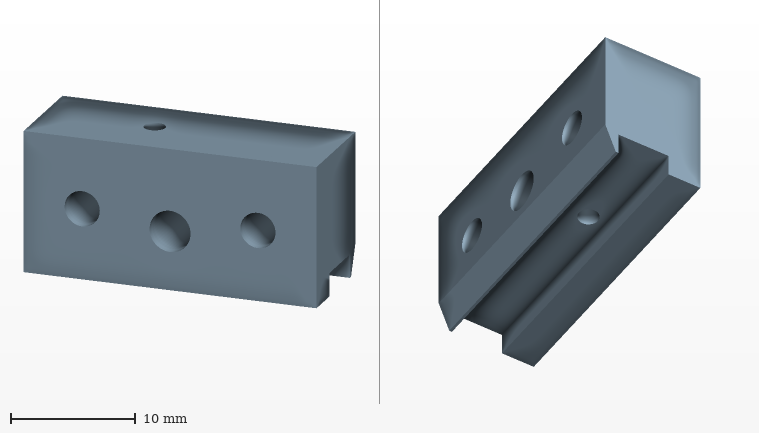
import cadquery as cq

LENGTH = 25.0
DEPTH = 9.0
HEIGHT = 12.0

CHANNEL_FRONT = 3.0
CHANNEL_WIDTH = 4.75
CHANNEL_HEIGHT = 2.0

BEVEL_DEPTH = 1.0
BEVEL_HEIGHT = 2.5

OUTER_HOLE_DIAMETER = 3.0
OUTER_HOLE_SPACING = 15.0
OUTER_HOLE_Z = HEIGHT / 2

MIDDLE_HOLE_DIAMETER = 3.5
MIDDLE_HOLE_Z = 5.0

VERTICAL_HOLE_DIAMETER = 1.8
VERTICAL_HOLE_X = 9.5
VERTICAL_HOLE_Y = 4.6


def make_body():
    """Extrude the Y-Z profile, with its channel and bevelled lip, along X."""
    channel_rear = CHANNEL_FRONT + CHANNEL_WIDTH
    profile = [
        (0, 0),
        (CHANNEL_FRONT, 0),
        (CHANNEL_FRONT, CHANNEL_HEIGHT),
        (channel_rear, CHANNEL_HEIGHT),
        (channel_rear, 0),
        (DEPTH - BEVEL_DEPTH, 0),
        (DEPTH, BEVEL_HEIGHT),
        (DEPTH, HEIGHT),
        (0, HEIGHT),
    ]
    return cq.Workplane("YZ").polyline(profile).close().extrude(LENGTH)


def cross_hole(x, z, diameter):
    """Cylinder along Y through the full depth of the block."""
    return cq.Workplane("XZ").center(x, z).circle(diameter / 2).extrude(-DEPTH)


def vertical_hole():
    """Cylinder along Z through the full height of the block."""
    return (
        cq.Workplane("XY")
        .center(VERTICAL_HOLE_X, VERTICAL_HOLE_Y)
        .circle(VERTICAL_HOLE_DIAMETER / 2)
        .extrude(HEIGHT)
    )


result = make_body()
for side in (-1, 1):
    outer_x = LENGTH / 2 + side * OUTER_HOLE_SPACING / 2
    result = result.cut(cross_hole(outer_x, OUTER_HOLE_Z, OUTER_HOLE_DIAMETER))
result = result.cut(cross_hole(LENGTH / 2, MIDDLE_HOLE_Z, MIDDLE_HOLE_DIAMETER))
result = result.cut(vertical_hole())